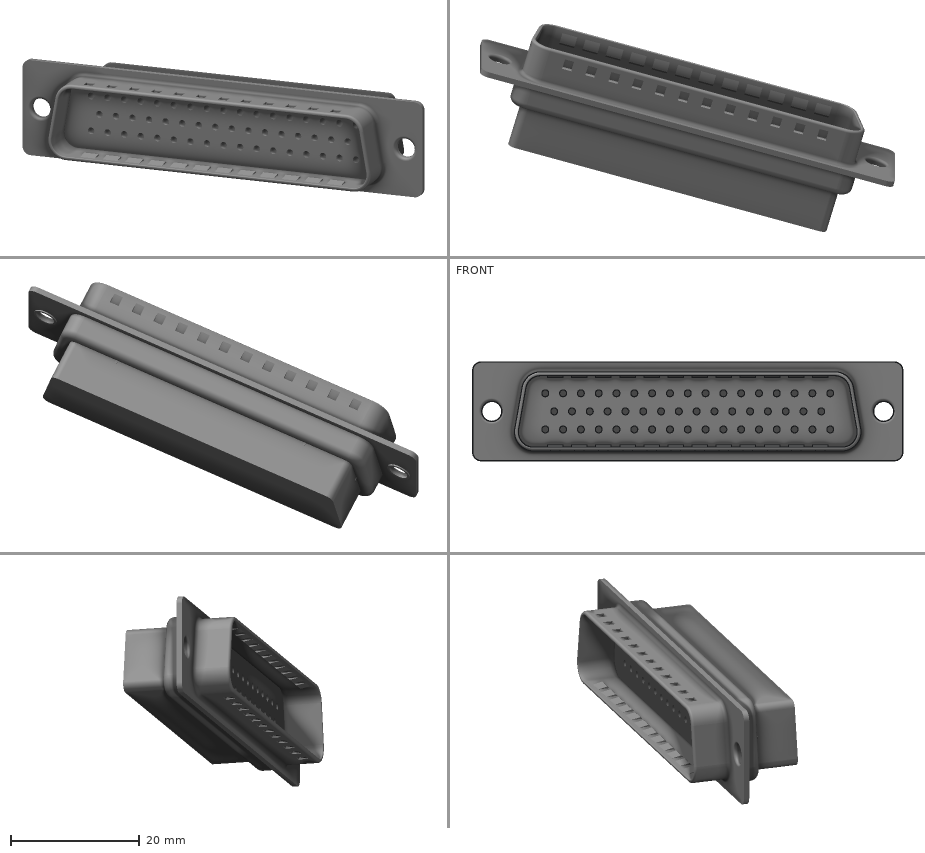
import cadquery as cq
import math


flange_length = 67.0
flange_height = 15.4
flange_thickness = 0.9
flange_corner_radius = 1.35
mount_spacing = 61.05
mount_hole_diameter = 3.1
mount_flare_diameter = 4.0
collar_diameter = 3.9
collar_height = 0.2

side_slant = math.radians(10)

shroud_length = 5.8
shroud_half_width = 26.45
shroud_half_height = 6.15
shroud_corner_radius = 2.95
rim_outer_radius = 0.4
rim_inner_radius = 0.15
shroud_root_radius = 0.55
sheet = 0.6

floor_y = 0.5

bell_end = 4.9
bell_half_width = 27.0
bell_half_height = 6.55
bell_corner_radius = 2.55
bell_edge_radius = 1.1

body_end = 11.7
body_half_width = 25.1
body_half_height = 5.15
body_corner_radius = 1.2

contact_diameter = 1.1
contact_depth = 2.0
contact_pitch = 2.775
row_pitch = 2.8
outer_row_count = 17
middle_row_count = 16

dimple_count = 12
dimple_pitch = 3.75
dimple_width = 1.5
dimple_depth = 0.4
bump_width = 2.4
bump_depth = 0.3
bump_margin = 0.15
dimple_front = 1.0 - shroud_length
dimple_crest = dimple_front + 1.4
dimple_rear = dimple_front + 1.6

pad_width = 0.4
pad_length = 0.5
pad_height = 0.1
pad_spacing = 32.5
side_pad_z = 0.2


def d_prism(half_width, half_height, corner_radius, y_start, y_end):
    """Prism along Y whose section is a trapezoid, wide at the bottom, with rounded corners."""
    lean = half_height * math.tan(side_slant)
    bottom = half_width + lean
    top = half_width - lean
    outline = [
        (-bottom, -half_height),
        (bottom, -half_height),
        (top, half_height),
        (-top, half_height),
    ]
    prism = cq.Workplane("XZ", origin=(0, y_start, 0)).polyline(outline).close()
    prism = prism.extrude(y_start - y_end)
    return prism.edges("|Y").fillet(corner_radius)


def centered_places(count, pitch):
    return [(i - (count - 1) / 2) * pitch for i in range(count)]


def make_front_shell():
    """Sheet flange and hollow shroud, joined by a bend of even thickness."""
    flange = make_flange_plate(0, sheet)
    shroud = d_prism(shroud_half_width, shroud_half_height, shroud_corner_radius, -shroud_length, sheet)
    shroud = shroud.faces("<Y").edges().fillet(rim_outer_radius)
    opening = d_prism(
        shroud_half_width - sheet / math.cos(side_slant),
        shroud_half_height - sheet,
        shroud_corner_radius - sheet,
        -shroud_length,
        sheet,
    )
    shell = flange.union(shroud)
    shell = shell.edges(edges_inside_border(0)).fillet(shroud_root_radius).cut(opening)
    shell = shell.edges(edges_inside_border(sheet)).fillet(shroud_root_radius + sheet)
    return shell.faces("<Y").wires(cq.selectors.LengthNthSelector(0)).fillet(rim_inner_radius)


def make_flange_plate(y_start, y_end):
    plate = (
        cq.Workplane("XZ", origin=(0, y_start, 0))
        .rect(flange_length, flange_height)
        .extrude(y_start - y_end)
    )
    return plate.edges("|Y").fillet(flange_corner_radius)


def edges_inside_border(y):
    """Selector for the edges in the plane at y, leaving out the flange outline."""
    border = 0.35
    slack = 0.01
    half_x = flange_length / 2 - border
    half_z = flange_height / 2 - border
    return cq.selectors.BoxSelector(
        (-half_x, y - slack, -half_z), (half_x, y + slack, half_z), boundingbox=True
    )


def make_rear():
    """Plate that closes the shroud floor, with the bell and the rear body behind it."""
    plate = make_flange_plate(floor_y, flange_thickness)
    bell = d_prism(bell_half_width, bell_half_height, bell_corner_radius, floor_y, bell_end)
    bell = bell.faces(">Y").edges().fillet(bell_edge_radius)
    body = d_prism(body_half_width, body_half_height, body_corner_radius, floor_y, body_end)
    return plate.union(bell).union(body)


def make_dimple_row(surface_z, width, depth, margin):
    """Wedges below surface_z that deepen toward the flange, then rise steeply.

    The margin lengthens each wedge at both ends.
    """
    wedge = (
        cq.Workplane("YZ")
        .polyline(
            [
                (dimple_front - margin, surface_z),
                (dimple_crest, surface_z - depth),
                (dimple_rear + margin, surface_z),
            ]
        )
        .close()
        .extrude(width / 2, both=True)
    )
    row = cq.Workplane("XY")
    for x in centered_places(dimple_count, dimple_pitch):
        row = row.add(wedge.translate((x, 0, 0)))
    return row.combine()


def add_dimples(part):
    pockets = make_dimple_row(shroud_half_height, dimple_width, dimple_depth, 0)
    bumps = make_dimple_row(shroud_half_height - sheet, bump_width, bump_depth, bump_margin)
    part = part.union(bumps).union(bumps.mirror("XY"))
    return part.cut(pockets).cut(pockets.mirror("XY"))


def make_contact_holes():
    outer_row = centered_places(outer_row_count, contact_pitch)
    middle_row = centered_places(middle_row_count, contact_pitch)
    places = [(x, 0) for x in middle_row]
    places += [(x, z) for z in (-row_pitch, row_pitch) for x in outer_row]
    return (
        cq.Workplane("XZ", origin=(0, floor_y, 0))
        .pushPoints(places)
        .circle(contact_diameter / 2)
        .extrude(-contact_depth)
    )


def add_mounting_holes(part):
    places = [(x, 0) for x in centered_places(2, mount_spacing)]
    collar_end = flange_thickness + collar_height
    hole_radius = mount_hole_diameter / 2
    flare_radius = (mount_flare_diameter - mount_hole_diameter) / 2
    collars = (
        cq.Workplane("XZ").pushPoints(places).circle(collar_diameter / 2).extrude(-collar_end)
    )
    flare_mid = flare_radius * (1 - math.sqrt(0.5))
    bore = (
        cq.Workplane("XY")
        .lineTo(mount_flare_diameter / 2, 0)
        .threePointArc((hole_radius + flare_mid, flare_mid), (hole_radius, flare_radius))
        .lineTo(hole_radius, collar_end)
        .lineTo(0, collar_end)
        .close()
        .revolve(360, (0, 0, 0), (0, 1, 0))
    )
    part = part.union(collars)
    for x, _ in places:
        part = part.cut(bore.translate((x, 0, 0)))
    return part


def make_pads():
    pad_y = bell_end + pad_length / 2
    depth = pad_width + pad_height
    pads = (
        cq.Workplane("XY", origin=(0, pad_y, body_half_height - pad_width))
        .rarray(pad_spacing, 0.7, 2, 1)
        .rect(pad_width, pad_length)
        .extrude(depth)
    )
    side_x = body_half_width - side_pad_z * math.tan(side_slant)
    side_pads = (
        cq.Workplane("XY", origin=(0, pad_y, side_pad_z))
        .box(2 * (side_x + pad_height), pad_length, pad_width)
    )
    return pads.union(side_pads)


result = add_dimples(make_front_shell())
result = result.union(make_rear())
result = result.cut(make_contact_holes())
result = add_mounting_holes(result)
result = result.union(make_pads())